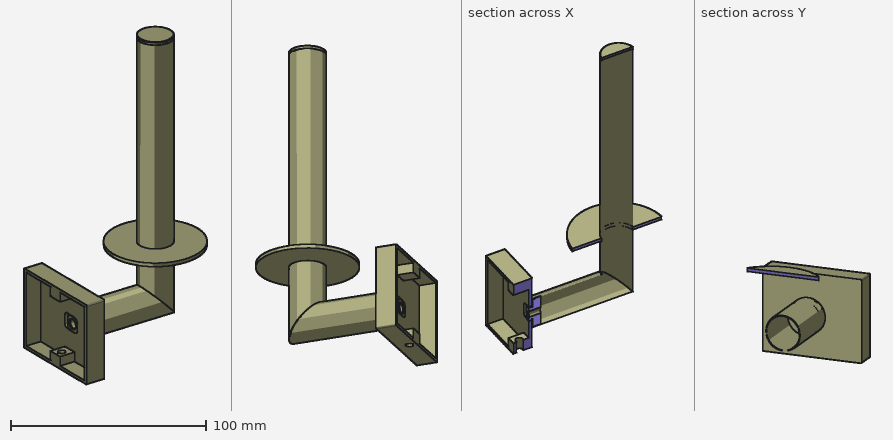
import cadquery as cq

OVERALL_WIDTH = 56.3
OVERALL_DEPTH = 88.0
OVERALL_HEIGHT = 171.8

TUBE_RADIUS = 9.6
TUBE_WALL = 0.64
BORE_RADIUS = TUBE_RADIUS - TUBE_WALL

DISC_DIAMETER = 53.0
DISC_RADIUS = DISC_DIAMETER / 2
DISC_THICKNESS = 2.0

PLATE_WIDTH = 55.0
PLATE_HEIGHT = 45.0
PLATE_DEPTH = 11.2
PLATE_SIDE_WALL = 2.0
PLATE_END_WALL = 1.7
PLATE_FLOOR = 2.0
PLATE_CORNER_RADIUS = 0.5
PLATE_X = DISC_RADIUS - OVERALL_WIDTH + PLATE_WIDTH / 2
PLATE_Z = 0.3
PLATE_BOTTOM = PLATE_Z - PLATE_HEIGHT / 2
PLATE_BACK = DISC_RADIUS - OVERALL_DEPTH
PLATE_FRONT = PLATE_BACK + PLATE_DEPTH
FLOOR_FACE = PLATE_FRONT - PLATE_FLOOR

LUG_WIDTH = 8.5
LUG_HEIGHT = 5.3
LUG_HOLE_RADIUS = 2.0
LUG_HOLE_SETBACK = 4.0

KEYWAY_SIZE = LUG_WIDTH
KEYWAY_CORNER_RADIUS = 1.7

PLUG_LENGTH = 4.8
PLUG_RECESS = 0.3
PLUG_BACK = PLATE_FRONT + PLUG_RECESS
PLUG_FRONT = PLUG_BACK + PLUG_LENGTH
PEG_SIZE = KEYWAY_SIZE
PEG_CORNER_RADIUS = 2.0
SCREW_HOLE_RADIUS = 2.4
SCREW_HOLE_CHAMFER = 0.5

ROD_TOP = PLATE_BOTTOM + OVERALL_HEIGHT
CAP_THICKNESS = 1.7
CAP_CHAMFER = 0.3
CAP_BOTTOM = ROD_TOP - CAP_THICKNESS
DISC_HEIGHT = 52.7
DISC_BOTTOM = PLATE_BOTTOM + DISC_HEIGHT
DISC_TOP = DISC_BOTTOM + DISC_THICKNESS


def y_cylinder(radius, start, end):
    """Cylinder on the arm axis from y = start to y = end."""
    return cq.Workplane("XZ", origin=(0, start, 0)).circle(radius).extrude(start - end)


def z_cylinder(radius, start, end):
    """Cylinder on the rod axis from z = start to z = end."""
    return cq.Workplane("XY", origin=(0, 0, start)).circle(radius).extrude(end - start)


def rounded_square(size, corner_radius, x, z):
    """Square bar through the thickness of the plate floor, with its edges along Y rounded."""
    bar = cq.Workplane("XZ", origin=(x, PLATE_FRONT, z)).rect(size, size).extrude(PLATE_FLOOR)
    return bar.edges("|Y").fillet(corner_radius)


def make_peg():
    return rounded_square(PEG_SIZE, PEG_CORNER_RADIUS, 0, 0)


def mitre_cutter(corner_y, corner_z):
    """Wedge on one side of the 45 degree mitre plane y + z = 0, with its square corner as given."""
    outline = [(-TUBE_RADIUS, TUBE_RADIUS), (TUBE_RADIUS, -TUBE_RADIUS), (corner_y, corner_z)]
    return cq.Workplane("YZ").polyline(outline).close().extrude(TUBE_RADIUS, both=True)


def make_rod():
    tube = z_cylinder(TUBE_RADIUS, -TUBE_RADIUS, CAP_BOTTOM)
    tube = tube.cut(z_cylinder(BORE_RADIUS, -TUBE_RADIUS, CAP_BOTTOM))
    return tube.cut(mitre_cutter(-TUBE_RADIUS, -TUBE_RADIUS))


def make_arm():
    tube = y_cylinder(TUBE_RADIUS, PLATE_FRONT, TUBE_RADIUS)
    tube = tube.cut(y_cylinder(BORE_RADIUS, PLATE_FRONT, TUBE_RADIUS))
    return tube.cut(mitre_cutter(TUBE_RADIUS, TUBE_RADIUS))


def make_plate():
    base = cq.Workplane("XZ", origin=(PLATE_X, PLATE_FRONT, PLATE_Z))
    plate = base.rect(PLATE_WIDTH, PLATE_HEIGHT).extrude(PLATE_DEPTH)
    plate = plate.edges("|Y").fillet(PLATE_CORNER_RADIUS)
    floor = base.workplane(offset=PLATE_FLOOR)
    inside_width = PLATE_WIDTH - 2 * PLATE_SIDE_WALL
    inside_height = PLATE_HEIGHT - 2 * PLATE_END_WALL
    inside_depth = PLATE_DEPTH - PLATE_FLOOR
    plate = plate.cut(floor.rect(inside_width, inside_height).extrude(inside_depth))

    for side in (-1, 1):
        lug_z = side * (inside_height - LUG_HEIGHT) / 2
        plate = plate.union(floor.center(0, lug_z).rect(LUG_WIDTH, LUG_HEIGHT).extrude(inside_depth))

    hole_base = cq.Workplane("XY", origin=(PLATE_X, PLATE_BACK + LUG_HOLE_SETBACK, PLATE_BOTTOM))
    plate = plate.cut(hole_base.circle(LUG_HOLE_RADIUS).extrude(PLATE_END_WALL + LUG_HEIGHT))

    keyway = rounded_square(KEYWAY_SIZE, KEYWAY_CORNER_RADIUS, PLATE_X, PLATE_Z)
    return plate.cut(keyway).cut(make_peg())


def make_plug():
    plug = y_cylinder(BORE_RADIUS, PLUG_BACK, PLUG_FRONT)
    neck = y_cylinder(PEG_SIZE / 2, PLATE_FRONT, PLUG_BACK)
    plug = plug.union(neck).union(make_peg())
    plug = plug.cut(y_cylinder(SCREW_HOLE_RADIUS, FLOOR_FACE, PLUG_FRONT))
    hole_mouth = plug.faces("<Y").edges(cq.selectors.RadiusNthSelector(-1))
    return hole_mouth.chamfer(SCREW_HOLE_CHAMFER)


def make_disc():
    disc = z_cylinder(DISC_RADIUS, DISC_BOTTOM, DISC_TOP)
    return disc.cut(z_cylinder(TUBE_RADIUS, DISC_BOTTOM, DISC_TOP))


def make_cap():
    cap = z_cylinder(TUBE_RADIUS, CAP_BOTTOM, ROD_TOP)
    return cap.faces(">Z").edges().chamfer(CAP_CHAMFER)


rod = make_rod()
arm = make_arm()
plate = make_plate()
plug = make_plug()
disc = make_disc()
cap = make_cap()

result = cq.Compound.makeCompound([rod.val(), arm.val(), plate.val(), plug.val(), disc.val(), cap.val()])